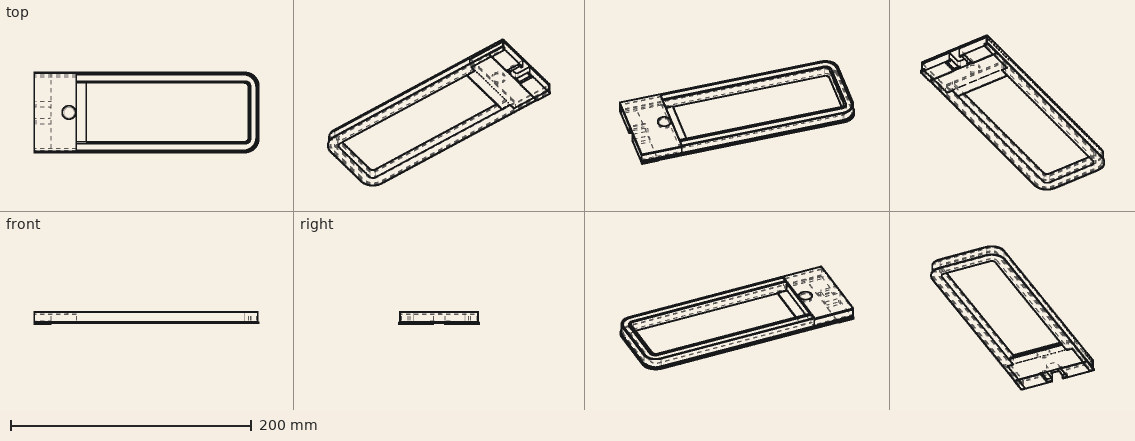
import cadquery as cq

LENGTH = 186.9
WIDTH = 66.7
HEIGHT = 10.3

FLANGE_OUT = 1.0
FLANGE_EDGE_TOP = 1.0
FLANGE_TOP = 2.0
OUTER_WALL = 1.0
INNER_WALL = 1.5
WINDOW_WIDTH = 49.0
CORNER_X = 174.8
PLATE_END = 35.0
PLATE_THICKNESS = 1.5
LIP_WIDTH = 1.9
FOOT_LENGTH = 13.8
BASE_RISE = 0.5

STRIP_RECESS = 0.5
STRIP_END_GAP = 0.5

COVER_GAP = 0.5
LEDGE_END = 43.5
LEDGE_TOP = 1.5
SLOT_WIDTH = 9.7
SLOT_CORNER_RADIUS = 1.7
FRONT_SKIN = 1.5
POCKET_TOP = 2.6
POCKET_WIDTH = 18.7

BUTTON_X = 29.0
BUTTON_RADIUS = 5.6
DISH_RADIUS = 4.5
DISH_DEPTH = 0.7

BODY_END = LENGTH - FLANGE_OUT
BODY_HALF = WIDTH / 2 - FLANGE_OUT
CHANNEL_OUTER_HALF = BODY_HALF - OUTER_WALL
WINDOW_HALF = WINDOW_WIDTH / 2
CHANNEL_INNER_HALF = WINDOW_HALF + INNER_WALL
CORNER_Y = BODY_HALF - (BODY_END - CORNER_X)
PLATE_BOTTOM = HEIGHT - PLATE_THICKNESS
COVER_TOP = PLATE_BOTTOM - COVER_GAP
STRIP_TOP = HEIGHT - STRIP_RECESS


def box(x0, x1, width, z0, z1):
    """Box centred on y = 0."""
    block = cq.Workplane("XY").box(x1 - x0, width, z1 - z0, centered=(False, True, False))
    return block.translate((x0, 0, z0))


def rounded_slab(x0, half_width, z0, z1, end_shift=0.0):
    """Slab from x0 to the far end with two rounded far corners about the common corner centres.

    end_shift moves the far end and its corners along X.
    """
    radius = half_width - CORNER_Y
    end = CORNER_X + radius + end_shift
    return box(x0, end, 2 * half_width, z0, z1).edges("|Z and >X").fillet(radius)


def strip_loop(z0, z1, gap=0.0):
    """U-shaped loop between the outer and inner walls, open towards the plate."""
    outside = rounded_slab(PLATE_END, CHANNEL_OUTER_HALF, z0, z1, -gap)
    inside = rounded_slab(PLATE_END, CHANNEL_INNER_HALF, z0, z1, gap)
    return outside.cut(inside)


def make_flange():
    """Base flange with an upright edge and a slope up to the walls."""
    slab = rounded_slab(0, WIDTH / 2, 0, FLANGE_TOP)
    slope_height = FLANGE_TOP - FLANGE_EDGE_TOP
    return slab.faces(">Z").edges("not <X").chamfer(slope_height, FLANGE_OUT)


def make_cover():
    """End block with a ledge into the window, a cable slot and a low pocket behind the front skin."""
    block = box(0, PLATE_END, 2 * CHANNEL_OUTER_HALF, 0, COVER_TOP)
    ledge = box(PLATE_END, LEDGE_END, WINDOW_WIDTH, BASE_RISE, LEDGE_TOP)
    lip_y = CHANNEL_OUTER_HALF - LIP_WIDTH / 2
    lip_notch = box(0, PLATE_END, LIP_WIDTH, 0, FLANGE_TOP)
    slot = box(0, FOOT_LENGTH, SLOT_WIDTH, 0, COVER_TOP)
    slot = slot.edges("|Z and >X").fillet(SLOT_CORNER_RADIUS)
    pocket = box(FRONT_SKIN, FOOT_LENGTH, POCKET_WIDTH, 0, POCKET_TOP)
    underside = box(FOOT_LENGTH, PLATE_END, WIDTH, 0, BASE_RISE)
    cover = block.union(ledge).cut(slot).cut(pocket).cut(underside)
    for side in (-1, 1):
        cover = cover.cut(lip_notch.translate((0, side * lip_y, 0)))
    return cover


def make_frame():
    """Handle-shaped frame: plate at the near end, two arms and a far end round the window."""
    frame = rounded_slab(0, BODY_HALF, 0, HEIGHT).union(make_flange())
    window = rounded_slab(PLATE_END, WINDOW_HALF, 0, HEIGHT)
    cavity = box(0, PLATE_END, 2 * CHANNEL_OUTER_HALF, FLANGE_TOP, PLATE_BOTTOM)
    lip_opening = box(0, PLATE_END, 2 * (CHANNEL_OUTER_HALF - LIP_WIDTH), 0, FLANGE_TOP)
    channel = strip_loop(FLANGE_TOP, HEIGHT)
    underside = box(FOOT_LENGTH, LENGTH, WIDTH, 0, BASE_RISE)
    button_hole = cq.Workplane("XY").center(BUTTON_X, 0).circle(BUTTON_RADIUS).extrude(HEIGHT)
    for void in (window, cavity, lip_opening, channel, underside, button_hole):
        frame = frame.cut(void)
    return frame


def make_strip():
    """Light strip lying in the channel, a little below the top face."""
    return strip_loop(FLANGE_TOP, STRIP_TOP, STRIP_END_GAP)


def make_button():
    """Round button through the plate, with a dished top, standing on the cover."""
    sphere_radius = (DISH_RADIUS**2 + DISH_DEPTH**2) / (2 * DISH_DEPTH)
    sphere_z = HEIGHT - DISH_DEPTH + sphere_radius
    dish = cq.Workplane("XY").sphere(sphere_radius).translate((BUTTON_X, 0, sphere_z))
    disc = cq.Workplane("XY").workplane(offset=COVER_TOP).center(BUTTON_X, 0)
    return disc.circle(BUTTON_RADIUS).extrude(HEIGHT - COVER_TOP).cut(dish)


frame = make_frame()
strip = make_strip()
cover = make_cover()
button = make_button()

result = cq.Compound.makeCompound([frame.val(), strip.val(), cover.val(), button.val()])